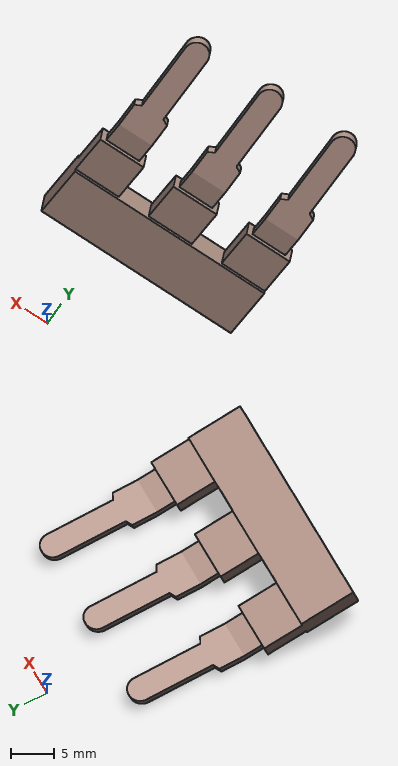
import cadquery as cq
import math

overall_width = 26.6
overall_length = 28.65
tilt = 12.0

bar_length = 7.0
bar_thickness = 3.5
block_length = 5.13
trim_height = 0.15
trim_length = 0.11
block_thickness = 2.5
block_width = 6.07

pin_count = 3
pin_height = 1.2
bend_y = 14.7
root_width = 4.6
blade_width = 3.05
blade_length = 10.08
shoulder_length = 0.4
pin_overlap = 0.57

cos_tilt = math.cos(math.radians(tilt))
sin_tilt = math.sin(math.radians(tilt))
pitch = (overall_width - block_width) / (pin_count - 1)
mid_plane = bar_thickness / 2

slope = cq.Plane(origin=(0, 0, 0), xDir=(1, 0, 0), normal=(0, sin_tilt, cos_tilt))


def sloped_box(width, start, end, thickness, x=0):
    """Box centred on the sloped mid-plane, from start to end along the slope."""
    return (
        cq.Workplane(slope)
        .center(x, (start + end) / 2)
        .workplane(offset=mid_plane - thickness / 2)
        .rect(width, end - start)
        .extrude(thickness)
    )


def mid_height(y):
    """Height of the sloped mid-plane at a given Y."""
    return (mid_plane - y * sin_tilt) / cos_tilt


body_length = bar_length + block_length
root_y = body_length * cos_tilt + mid_plane * sin_tilt - pin_overlap
half_height = pin_height / 2
pin_mid_z = mid_height(bend_y)

tip_y = trim_height * sin_tilt + overall_length
tip = tip_y * cos_tilt - (pin_mid_z + half_height) * sin_tilt


def bent_strip(x):
    """Side profile of a pin: sloped root, then a level blade."""
    root_z = mid_height(root_y)
    return (
        cq.Workplane("YZ", origin=(x, 0, 0))
        .moveTo(root_y, root_z - half_height)
        .lineTo(bend_y, pin_mid_z - half_height)
        .lineTo(tip_y, pin_mid_z - half_height)
        .lineTo(tip_y, pin_mid_z + half_height)
        .lineTo(bend_y, pin_mid_z + half_height)
        .lineTo(root_y, root_z + half_height)
        .close()
        .extrude(root_width / 2, both=True)
    )


def pin_outline(x):
    """Pin outline with shoulders and a round tip, cut square to the slope."""
    blade_start = tip - blade_length
    shoulder_start = blade_start - shoulder_length
    tip_radius = blade_width / 2
    root_start = body_length - 2 * pin_overlap
    return (
        cq.Workplane(slope)
        .center(x, 0)
        .moveTo(-root_width / 2, root_start)
        .lineTo(-root_width / 2, shoulder_start)
        .lineTo(-blade_width / 2, blade_start)
        .lineTo(-blade_width / 2, tip - tip_radius)
        .threePointArc((0, tip), (blade_width / 2, tip - tip_radius))
        .lineTo(blade_width / 2, blade_start)
        .lineTo(root_width / 2, shoulder_start)
        .lineTo(root_width / 2, root_start)
        .close()
        .extrude(overall_length / 2, both=True)
    )


def rear_trim():
    """Wedge that trims the lower rear edge of the bar."""
    profile_plane = cq.Plane(origin=(0, 0, 0), xDir=slope.yDir, normal=(1, 0, 0))
    return (
        cq.Workplane(profile_plane)
        .lineTo(trim_length, 0)
        .lineTo(0, trim_height)
        .close()
        .extrude(overall_width / 2, both=True)
    )


result = sloped_box(overall_width, 0, bar_length, bar_thickness).cut(rear_trim())
for index in range(pin_count):
    pin_x = (index - (pin_count - 1) / 2) * pitch
    block = sloped_box(block_width, bar_length / 2, body_length, block_thickness, pin_x)
    pin = bent_strip(pin_x).intersect(pin_outline(pin_x))
    result = result.union(block).union(pin)